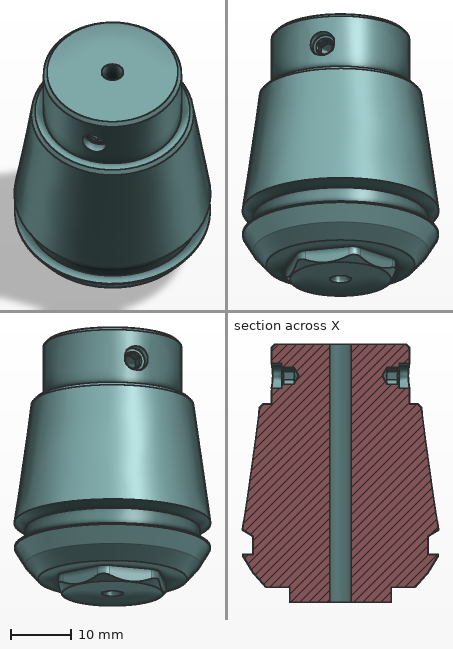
import cadquery as cq
import math

total_height = 43.0
nut_height = 2.5
flange_knee_z = 4.95
flange_rim_bottom_z = 7.75
flange_rim_top_z = 8.0
groove_top_z = 10.95
taper_bottom_z = 12.1
shoulder_z = 33.02

flange_base_diameter = 24.8
flange_knee_diameter = 29.2
flange_rim_diameter = 32.6
groove_diameter = 29.2
taper_large_diameter = 32.72
taper_half_angle = 8.0
neck_diameter = 23.0
edge_chamfer = 0.6
bore_diameter = 3.55

nut_across_flats = 16.95
nut_corner_radius = 2.0
nut_bevel_diameter = 19.1
nut_bottom_diameter = 16.75

screw_drop = 5.3
screw_hole_diameter = 4.13
screw_face_depth = 1.7
socket_across_flats = 2.35
socket_rim_diameter = 3.0
socket_depth = 2.0
socket_point_angle = 120.0


def hexagon_diameter(across_flats):
    """Corner-to-corner size of a hexagon."""
    return across_flats / math.cos(math.radians(30))


def make_body():
    """Neck, taper, groove and flange turned around Z."""
    taper_top_z = shoulder_z - edge_chamfer
    taper_shrink = (taper_top_z - taper_bottom_z) * math.tan(math.radians(taper_half_angle))
    taper_large_radius = taper_large_diameter / 2
    taper_top_radius = taper_large_radius - taper_shrink
    neck_radius = neck_diameter / 2
    return (
        cq.Workplane("XZ")
        .moveTo(0, nut_height)
        .lineTo(flange_base_diameter / 2, nut_height)
        .lineTo(flange_knee_diameter / 2, flange_knee_z)
        .lineTo(flange_rim_diameter / 2, flange_rim_bottom_z)
        .lineTo(flange_rim_diameter / 2, flange_rim_top_z)
        .lineTo(groove_diameter / 2, flange_rim_top_z)
        .lineTo(groove_diameter / 2, groove_top_z)
        .lineTo(taper_large_radius, taper_bottom_z)
        .lineTo(taper_top_radius, taper_top_z)
        .lineTo(taper_top_radius - edge_chamfer, shoulder_z)
        .lineTo(neck_radius, shoulder_z)
        .lineTo(neck_radius, total_height - edge_chamfer)
        .lineTo(neck_radius - edge_chamfer, total_height)
        .lineTo(0, total_height)
        .close()
        .revolve(360, (0, 0), (0, 1))
    )


def make_nut():
    """Hexagon with corners on X, rounded corners and a bevelled lower edge."""
    hexagon = (
        cq.Workplane("XY")
        .polygon(6, hexagon_diameter(nut_across_flats))
        .extrude(nut_height)
        .edges("|Z")
        .fillet(nut_corner_radius)
    )
    bevel = (nut_bevel_diameter - nut_bottom_diameter) / 2
    bevel_limit = (
        cq.Workplane("XY")
        .circle(nut_bevel_diameter / 2)
        .extrude(nut_height)
        .faces("<Z")
        .chamfer(bevel)
    )
    return hexagon.intersect(bevel_limit)


def make_screw_cut():
    """Recess on the -Y side down to a set screw with a pointed hexagon socket."""
    neck_radius = neck_diameter / 2
    screw_face_radius = neck_radius - screw_face_depth
    screw_z = total_height - screw_drop
    corner_radius = hexagon_diameter(socket_across_flats) / 2
    rim_radius = socket_rim_diameter / 2
    flat_radius = socket_across_flats / 2
    rim_depth = rim_radius - flat_radius
    point_depth = corner_radius / math.tan(math.radians(socket_point_angle / 2))

    recess = (
        cq.Workplane("XZ", origin=(0, -screw_face_radius, screw_z))
        .circle(screw_hole_diameter / 2)
        .extrude(2 * screw_face_depth)
    )
    rim = (
        cq.Workplane("XY", origin=(0, 0, screw_z))
        .moveTo(0, -screw_face_radius)
        .lineTo(rim_radius, -screw_face_radius)
        .lineTo(flat_radius, rim_depth - screw_face_radius)
        .lineTo(0, rim_depth - screw_face_radius)
        .close()
        .revolve(360, (0, 0), (0, 1))
    )
    socket_length = socket_depth + point_depth
    hexagon = (
        cq.Workplane("XZ", origin=(0, -screw_face_radius, screw_z))
        .transformed(rotate=(0, 0, 30))
        .polygon(6, 2 * corner_radius)
        .extrude(-socket_length)
    )
    pointed_limit = (
        cq.Workplane("XY", origin=(0, 0, screw_z))
        .moveTo(0, -screw_face_radius)
        .lineTo(corner_radius, -screw_face_radius)
        .lineTo(corner_radius, socket_depth - screw_face_radius)
        .lineTo(0, socket_length - screw_face_radius)
        .close()
        .revolve(360, (0, 0), (0, 1))
    )
    return recess.union(rim).union(hexagon.intersect(pointed_limit))


bore = cq.Workplane("XY").circle(bore_diameter / 2).extrude(total_height)
screw_cut = make_screw_cut()

result = make_body().union(make_nut()).cut(bore)
for side_angle in (0, 180):
    result = result.cut(screw_cut.rotate((0, 0, 0), (0, 0, 1), side_angle))